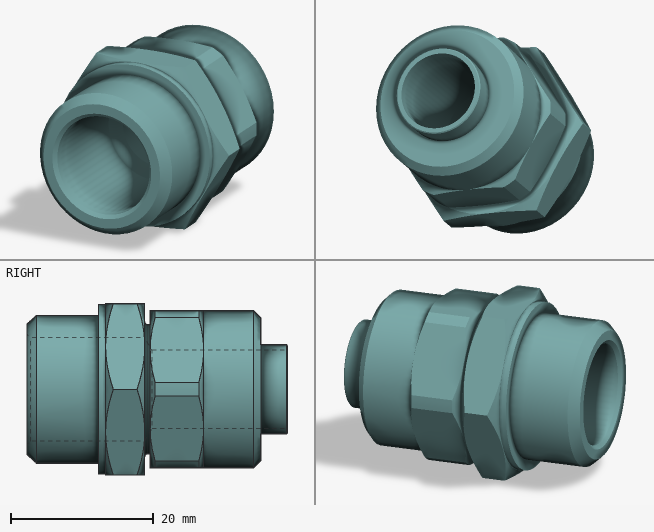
import cadquery as cq
import math


LENGTH = 36.5
COLLAR_START = 10.0
BODY_HEX_START = 11.02
BODY_HEX_END = 16.5
NUT_HEX_START = 17.25
NUT_HEX_END = 24.75
NUT_END = 32.78

THREAD_RADIUS = 10.35
THREAD_CHAMFER_LENGTH = 1.35
THREAD_CHAMFER_DEPTH = 1.25
BODY_HEX_WIDTH = 24.0
NUT_HEX_WIDTH = 22.0
NUT_CORNER_RADIUS = 12.2
COLLAR_RADIUS = 11.9
NECK_RADIUS = 9.05
NECK_FILLET = 0.4
NUT_CHAMFER = 1.02
TIP_RADIUS = 6.25
TIP_CHAMFER = 0.15
HEX_CHAMFER_ANGLE = 30.0
HEX_FLAT_TO_CORNER = math.cos(math.pi / 6)

WIDE_BORE_RADIUS = 7.23
WIDE_BORE_DEPTH = BODY_HEX_END
BORE_MOUTH_CHAMFER = 0.5
THROUGH_BORE_RADIUS = 5.48
BORE_SHOULDER_ANGLE = 30.0


def revolve_profile(points):
    """Revolve a closed outline of (radius, axial place) points about the Y axis."""
    return cq.Workplane("XY").polyline(points).close().revolve(360, (0, 0, 0), (0, 1, 0))


def cylinder(radius, start, end):
    return revolve_profile([(0, start), (radius, start), (radius, end), (0, end)])


def chamfered_hex(width, corner_radius, start, end):
    """Hexagon with flats facing +-Z, its corners cut by a cone at each end face."""
    flat_radius = width / 2
    tip_to_tip = width / HEX_FLAT_TO_CORNER
    drop = (corner_radius - flat_radius) * math.tan(math.radians(HEX_CHAMFER_ANGLE))
    prism = (
        cq.Workplane("XZ", origin=(0, start, 0))
        .polygon(6, tip_to_tip)
        .extrude(start - end)
    )
    envelope = revolve_profile([
        (0, start),
        (flat_radius, start),
        (corner_radius, start + drop),
        (corner_radius, end - drop),
        (flat_radius, end),
        (0, end),
    ])
    return prism.intersect(envelope)


def threaded_body():
    thread = revolve_profile([
        (0, 0),
        (THREAD_RADIUS - THREAD_CHAMFER_DEPTH, 0),
        (THREAD_RADIUS, THREAD_CHAMFER_LENGTH),
        (THREAD_RADIUS, COLLAR_START),
        (0, COLLAR_START),
    ])
    collar = cylinder(COLLAR_RADIUS, COLLAR_START, BODY_HEX_START)
    sharp_corner_radius = BODY_HEX_WIDTH / 2 / HEX_FLAT_TO_CORNER
    hexagon = chamfered_hex(BODY_HEX_WIDTH, sharp_corner_radius, BODY_HEX_START, BODY_HEX_END)
    return thread.union(collar).union(hexagon)


def neck():
    """Short neck between the hexagons, flared by a fillet where it meets the body."""
    fillet_middle = NECK_FILLET * (1 - math.sqrt(0.5))
    return (
        cq.Workplane("XY")
        .moveTo(0, BODY_HEX_END)
        .lineTo(NECK_RADIUS + NECK_FILLET, BODY_HEX_END)
        .threePointArc(
            (NECK_RADIUS + fillet_middle, BODY_HEX_END + fillet_middle),
            (NECK_RADIUS, BODY_HEX_END + NECK_FILLET),
        )
        .lineTo(NECK_RADIUS, NUT_HEX_START)
        .lineTo(0, NUT_HEX_START)
        .close()
        .revolve(360, (0, 0, 0), (0, 1, 0))
    )


def clamping_nut():
    hexagon = chamfered_hex(NUT_HEX_WIDTH, NUT_CORNER_RADIUS, NUT_HEX_START, NUT_HEX_END)
    sleeve = cylinder(NUT_HEX_WIDTH / 2, NUT_HEX_END, NUT_END).faces(">Y").chamfer(NUT_CHAMFER)
    return hexagon.union(sleeve)


def tip():
    return cylinder(TIP_RADIUS, NUT_END, LENGTH).faces(">Y").chamfer(TIP_CHAMFER)


def stepped_bore():
    """Wide bore from the thread end, narrowing through a cone to the through bore."""
    shoulder_length = (WIDE_BORE_RADIUS - THROUGH_BORE_RADIUS) * math.tan(math.radians(BORE_SHOULDER_ANGLE))
    return revolve_profile([
        (0, 0),
        (WIDE_BORE_RADIUS + BORE_MOUTH_CHAMFER, 0),
        (WIDE_BORE_RADIUS, BORE_MOUTH_CHAMFER),
        (WIDE_BORE_RADIUS, WIDE_BORE_DEPTH),
        (THROUGH_BORE_RADIUS, WIDE_BORE_DEPTH + shoulder_length),
        (THROUGH_BORE_RADIUS, LENGTH),
        (0, LENGTH),
    ])


result = threaded_body().union(neck()).union(clamping_nut()).union(tip()).cut(stepped_bore())